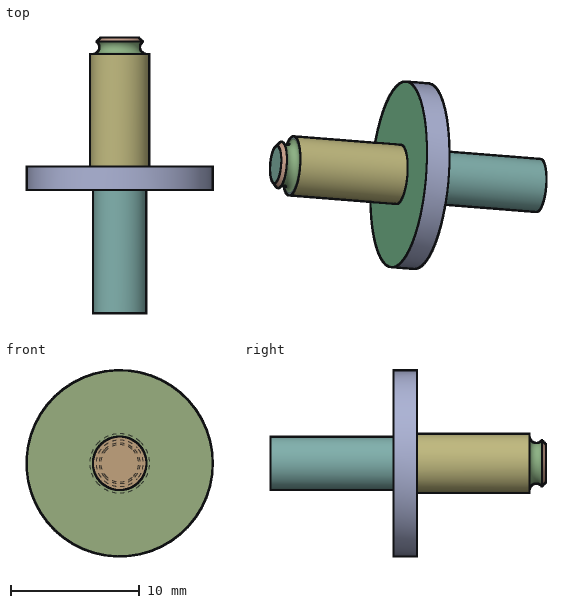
import cadquery as cq
import math

total_length = 21.42
stud_length = 9.55
flange_thickness = 1.85

stud_radius = 2.08
flange_radius = 7.25
shaft_radius = 2.31

tip_length = 1.29
lip_bevel_length = 0.35
tip_end_radius = 1.45
neck_radius = 1.59
neck_groove_radius = 0.51

flange_back = stud_length + flange_thickness
shoulder = total_length - tip_length
neck = shoulder + neck_groove_radius
lip = total_length - lip_bevel_length

groove_center_radius = neck_radius + neck_groove_radius
lip_radius = groove_center_radius - math.sqrt(neck_groove_radius**2 - (lip - neck) ** 2)

half_section = (
    cq.Workplane("XY")
    .lineTo(stud_radius, 0)
    .lineTo(stud_radius, stud_length)
    .lineTo(flange_radius, stud_length)
    .lineTo(flange_radius, flange_back)
    .lineTo(shaft_radius, flange_back)
    .lineTo(shaft_radius, shoulder)
    .lineTo(groove_center_radius, shoulder)
    .threePointArc((neck_radius, neck), (lip_radius, lip))
    .lineTo(tip_end_radius, total_length)
    .lineTo(0, total_length)
    .close()
)

result = half_section.revolve(360, (0, 0, 0), (0, 1, 0))